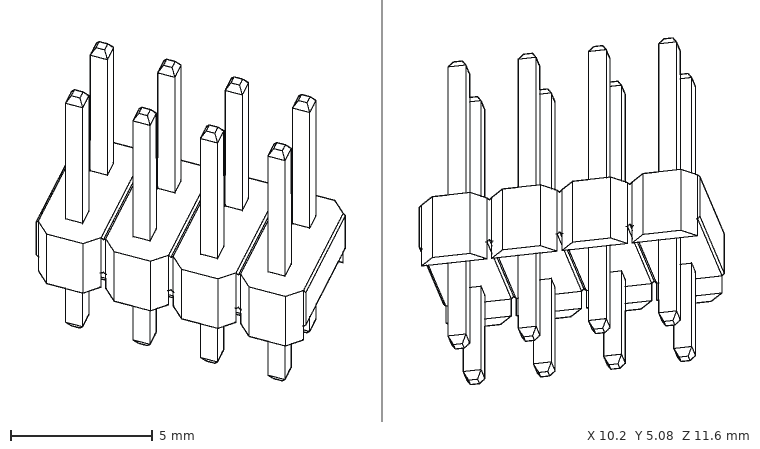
import cadquery as cq
import math

pitch = 2.54
columns = 4
rows = 2

housing_length = columns * pitch
housing_width = rows * pitch
housing_height = 2.5
corner_chamfer = 0.5
web_bevel = 0.085
channel_depth = 0.7
channel_width = housing_width - 2 * corner_chamfer

pin_size = 0.65
pin_above = 6.1
pin_below = 3.0
tip_size = pin_size / 2
tip_angle = 60
tip_length = (pin_size - tip_size) / 2 * math.tan(math.radians(tip_angle))

column_positions = [(i - (columns - 1) / 2) * pitch for i in range(columns)]
row_positions = [(j - (rows - 1) / 2) * pitch for j in range(rows)]
pin_positions = [(x, y) for x in column_positions for y in row_positions]


def make_cell(x):
    """Eight-sided block around one column of pins."""
    return (
        cq.Workplane("XY")
        .center(x, 0)
        .rect(pitch - 2 * web_bevel, housing_width)
        .extrude(housing_height)
        .edges("|Z")
        .chamfer(corner_chamfer)
    )


def make_web(x):
    """Full-pitch bar, bevelled along its long edges, that joins a cell to its neighbours."""
    return (
        cq.Workplane("XY", origin=(x, 0, channel_depth))
        .rect(pitch, channel_width)
        .extrude(housing_height - channel_depth)
        .edges("|Y")
        .chamfer(web_bevel)
    )


def make_housing():
    """Row of joined cells with an underside channel and a square hole for each pin."""
    body = make_cell(column_positions[0])
    for x in column_positions[1:]:
        body = body.union(make_cell(x))
    channel = (
        cq.Workplane("XY")
        .rect(housing_length, channel_width)
        .extrude(channel_depth)
    )
    body = body.cut(channel)
    for x in column_positions:
        body = body.union(make_web(x))
    pin_holes = (
        cq.Workplane("XY")
        .pushPoints(pin_positions)
        .rect(pin_size, pin_size)
        .extrude(housing_height)
    )
    return body.cut(pin_holes).solids()


def make_pin(x, y):
    """Square pin with a blunt pyramid tip at each end."""
    pin_bottom = -pin_below
    shank_bottom = pin_bottom + tip_length
    shank_top = housing_height + pin_above - tip_length
    shank = (
        cq.Workplane("XY", origin=(x, y, shank_bottom))
        .rect(pin_size, pin_size)
        .extrude(shank_top - shank_bottom)
    )
    lower_tip = (
        cq.Workplane("XY", origin=(x, y, pin_bottom))
        .rect(tip_size, tip_size)
        .workplane(offset=tip_length)
        .rect(pin_size, pin_size)
        .loft(ruled=True)
    )
    upper_tip = (
        cq.Workplane("XY", origin=(x, y, shank_top))
        .rect(pin_size, pin_size)
        .workplane(offset=tip_length)
        .rect(tip_size, tip_size)
        .loft(ruled=True)
    )
    return shank.union(lower_tip).union(upper_tip).solids()


housing = make_housing()
pins = [make_pin(x, y) for x, y in pin_positions]

result = cq.Compound.makeCompound([housing.val(), *[pin.val() for pin in pins]])